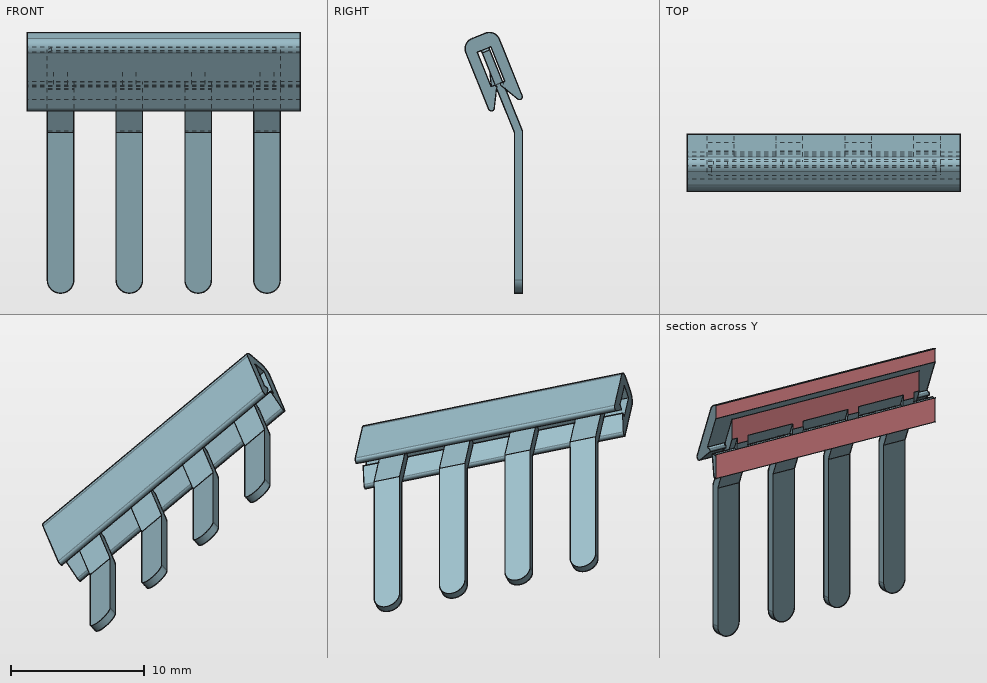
import cadquery as cq
import math

CLIP_LENGTH = 20.42
LEAN_ANGLE = 22.0
WALL = 0.82
CAVITY_WIDTH = 1.08
CAVITY_TOP = 6.72
CLIP_TOP = 7.82
SHOULDER_HEIGHT = 3.95
LIP_HEIGHT = 3.78
THROAT_GAP = 0.3
CLIP_CENTER_Y = -0.39
LEAD_IN_ANGLE = 28.7
LIP_TIP_RADIUS = 0.22
SHOULDER_RADIUS = 0.15

LEG_COUNT = 4
LEG_PITCH = 5.15
LEG_WIDTH = 2.0
LEG_THICKNESS = 0.61
BEND_HEIGHT = 12.15
BAR_CHAMFER_HEIGHT = 0.18
BAR_CHAMFER_LENGTH = 0.33
BARB_WIDTH = 1.02
BARB_TOP = 5.05

CLIP_HALF_WIDTH = CAVITY_WIDTH / 2 + WALL
CAVITY_HALF_WIDTH = CAVITY_WIDTH / 2
THROAT_HALF = THROAT_GAP / 2
TIP_APEX = LIP_HEIGHT - (CLIP_HALF_WIDTH - THROAT_HALF) / math.tan(math.radians(LEAD_IN_ANGLE))
LEG_SPAN = (LEG_COUNT - 1) * LEG_PITCH
BAR_LENGTH = LEG_SPAN + LEG_WIDTH
LEG_CENTERS = [i * LEG_PITCH - LEG_SPAN / 2 for i in range(LEG_COUNT)]


def extrude_along_x(points, length, center_x=0.0):
    """Extrude a closed (Y, Z) outline along X, centred on center_x."""
    plane = cq.Workplane("YZ", origin=(center_x, 0, 0))
    return plane.polyline(points).close().extrude(length / 2, both=True)


def lean(body):
    """Tilt an upright body forward about the bend line and raise it to the bend height."""
    return body.rotate((0, 0, 0), (1, 0, 0), LEAN_ANGLE).translate((0, 0, BEND_HEIGHT))


def make_leg(center_x):
    """Flat leg with a rounded foot, a mitred bend and a leaning upper end."""
    miter_drop = LEG_THICKNESS * math.tan(math.radians(LEAN_ANGLE / 2))
    foot_radius = LEG_WIDTH / 2
    lower = extrude_along_x(
        [
            (0, foot_radius),
            (0, BEND_HEIGHT),
            (-LEG_THICKNESS, BEND_HEIGHT - miter_drop),
            (-LEG_THICKNESS, foot_radius),
        ],
        LEG_WIDTH,
        center_x,
    )
    foot = cq.Workplane("XZ").center(center_x, foot_radius).circle(foot_radius).extrude(LEG_THICKNESS)
    upper = extrude_along_x(
        [
            (0, 0),
            (0, SHOULDER_HEIGHT),
            (-LEG_THICKNESS, SHOULDER_HEIGHT),
            (-LEG_THICKNESS, -miter_drop),
        ],
        LEG_WIDTH,
        center_x,
    )
    return lower.union(foot).union(lean(upper))


def make_barb(center_x):
    """Wedge on the front of a leg that rests on the front shoulder."""
    outline = [
        (-LEG_THICKNESS, BARB_TOP),
        (CLIP_CENTER_Y - CAVITY_HALF_WIDTH, SHOULDER_HEIGHT),
        (-LEG_THICKNESS, SHOULDER_HEIGHT),
    ]
    return lean(extrude_along_x(outline, BARB_WIDTH, center_x))


def make_bar():
    """Flat bar from the shoulders up to the cavity top, with chamfered upper corners."""
    half_length = BAR_LENGTH / 2
    outline = [
        (-half_length, SHOULDER_HEIGHT),
        (half_length, SHOULDER_HEIGHT),
        (half_length, CAVITY_TOP - BAR_CHAMFER_HEIGHT),
        (half_length - BAR_CHAMFER_LENGTH, CAVITY_TOP),
        (-half_length + BAR_CHAMFER_LENGTH, CAVITY_TOP),
        (-half_length, CAVITY_TOP - BAR_CHAMFER_HEIGHT),
    ]
    return lean(cq.Workplane("XZ").polyline(outline).close().extrude(LEG_THICKNESS))


def make_comb():
    """Bar with its legs and barbs, joined into one solid."""
    comb = make_bar()
    for center_x in LEG_CENTERS:
        comb = comb.union(make_leg(center_x)).union(make_barb(center_x))
    return comb


def make_clip(comb):
    """Channel with two inward lips, notched where the legs pass through."""
    back_half = [
        (CLIP_HALF_WIDTH, CLIP_TOP),
        (CLIP_HALF_WIDTH, TIP_APEX),
        (THROAT_HALF, LIP_HEIGHT),
        (THROAT_HALF, SHOULDER_HEIGHT),
        (CAVITY_HALF_WIDTH, SHOULDER_HEIGHT),
        (CAVITY_HALF_WIDTH, CAVITY_TOP),
    ]
    front_half = [(-y, z) for y, z in reversed(back_half)]
    clip = extrude_along_x(back_half + front_half, CLIP_LENGTH)
    clip = clip.edges("|X").edges(">Z").fillet(WALL)
    clip = clip.edges("|X").edges("<Z").fillet(LIP_TIP_RADIUS)
    for y in (-THROAT_HALF, THROAT_HALF):
        shoulder_edge = cq.selectors.NearestToPointSelector((0, y, SHOULDER_HEIGHT))
        clip = clip.edges(shoulder_edge).fillet(SHOULDER_RADIUS)
    return lean(clip.translate((0, CLIP_CENTER_Y, 0))).cut(comb)


comb = make_comb()
clip = make_clip(comb)

result = cq.Compound.makeCompound([clip.solids().val(), comb.solids().val()])